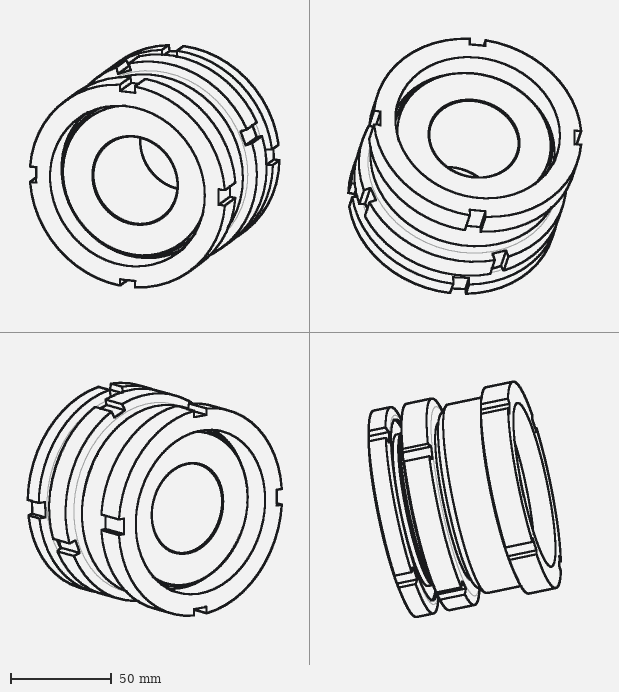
import cadquery as cq

rim_radius = 52.5
rim_chamfer_length = 1.2
rim_chamfer_depth = 4.4
thread_radius = 40.0
slot_count = 4
slot_depth = 3.5

flange_length = 15.0
flange_slot_width = 8.0
housing_length = 38.0
housing_radius = 48.0
housing_chamfer = 3.6
recess_radius = 41.6
recess_depth = flange_length

nut_front = 40.6
nut_back = 55.9
nut_slot_width = 7.4
nut_slot_angle = 22.0

sleeve_front = 10.2
sleeve_back = 72.8
head_length = 11.0
head_front = sleeve_back - head_length
head_slot_width = 8.0
head_slot_angle = 3.3
head_recess_radius = 46.0
head_recess_depth = 1.0
thread_chamfer = 1.3
thread_lead_length = 2.1
thread_land = 0.2
relief_radius = 38.5
relief_length = 1.8
bore_radius = 22.6
bore_chamfer = 0.4


def revolve_about_y(points):
    """Solid of revolution from a closed outline of (radius, y) points."""
    return cq.Workplane("XY").polyline(points).close().revolve(360, (0, 0), (0, 1))


def cut_rim_slots(body, front, back, width, first_angle):
    """Cut evenly spaced spanner slots along Y into the rim between front and back."""
    for i in range(slot_count):
        slot = (
            cq.Workplane("XY")
            .box(width, back - front, 2 * slot_depth)
            .translate((0, (front + back) / 2, rim_radius))
            .rotate((0, 0, 0), (0, 1, 0), i * 360 / slot_count - first_angle)
        )
        body = body.cut(slot)
    return body


def make_housing():
    body = revolve_about_y([
        (recess_radius, 0),
        (rim_radius, 0),
        (rim_radius, flange_length - rim_chamfer_length),
        (rim_radius - rim_chamfer_depth, flange_length),
        (housing_radius, flange_length),
        (housing_radius, housing_length - housing_chamfer),
        (housing_radius - housing_chamfer, housing_length),
        (thread_radius, housing_length),
        (thread_radius, recess_depth),
        (recess_radius, recess_depth),
    ])
    return cut_rim_slots(body, 0, flange_length, flange_slot_width, 0)


def make_lock_nut():
    chamfer_radius = rim_radius - rim_chamfer_depth
    body = revolve_about_y([
        (thread_radius, nut_front),
        (chamfer_radius, nut_front),
        (rim_radius, nut_front + rim_chamfer_length),
        (rim_radius, nut_back - rim_chamfer_length),
        (chamfer_radius, nut_back),
        (thread_radius, nut_back),
    ])
    return cut_rim_slots(body, nut_front, nut_back, nut_slot_width, nut_slot_angle)


def make_sleeve():
    chamfer_radius = rim_radius - rim_chamfer_depth
    thread_end_radius = thread_radius - thread_chamfer
    relief_front = head_front - relief_length
    chamfer_back = relief_front - thread_land
    recess_floor = head_front + head_recess_depth
    body = revolve_about_y([
        (bore_radius + bore_chamfer, sleeve_front),
        (thread_end_radius, sleeve_front),
        (thread_radius, sleeve_front + thread_lead_length),
        (thread_radius, chamfer_back - thread_chamfer),
        (thread_end_radius, chamfer_back),
        (thread_end_radius, relief_front),
        (relief_radius, relief_front),
        (relief_radius, recess_floor),
        (head_recess_radius, recess_floor),
        (head_recess_radius, head_front),
        (chamfer_radius, head_front),
        (rim_radius, head_front + rim_chamfer_length),
        (rim_radius, sleeve_back - rim_chamfer_length),
        (chamfer_radius, sleeve_back),
        (bore_radius + bore_chamfer, sleeve_back),
        (bore_radius, sleeve_back - bore_chamfer),
        (bore_radius, sleeve_front + bore_chamfer),
    ])
    return cut_rim_slots(body, head_front, sleeve_back, head_slot_width, head_slot_angle)


housing = make_housing()
lock_nut = make_lock_nut()
sleeve = make_sleeve()

result = cq.Compound.makeCompound([housing.val(), lock_nut.val(), sleeve.val()])